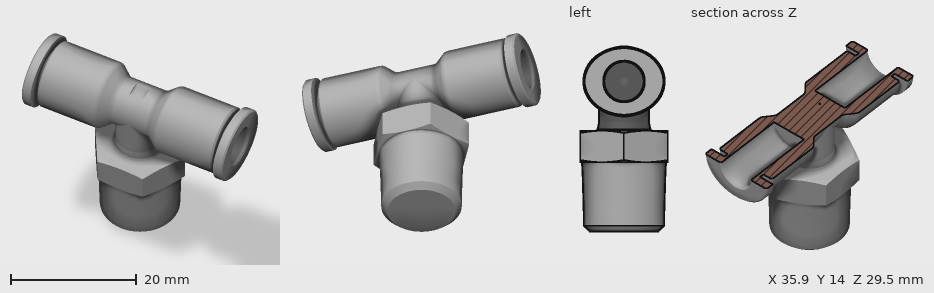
import cadquery as cq
import math


overall_length = 35.9
half_length = overall_length / 2
socket_radius = 5.6
waist_radius = 4.0
waist_half_length = 3.45
cone_end = 5.42
blend_radius = 1.0
socket_end = 15.6
socket_chamfer = 0.3

collar_half_width = 6.5
collar_half_height = 5.53
collar_thickness = 1.6
collar_chamfer = 0.25
collar_neck_radius = 3.8
bore_radius = 3.12
bore_depth = 12.92
bore_chamfer = 0.2

flat_length = 2.35
flat_mouth_length = 2.5
flat_height = 3.7

stem_radius = waist_radius
flare_top = -6.43
flare_bottom = -7.65
flare_radius = 4.25
foot_radius = 4.5

hex_top = -7.85
hex_height = 5.0
hex_bottom = hex_top - hex_height
hex_across_flats = 14.0
hex_inner_radius = hex_across_flats / 2
hex_corner_radius = hex_inner_radius / math.cos(math.radians(30))
hex_corner_drop = 0.35

stud_top_radius = 6.7
stud_lower_radius = 6.43
stud_tip_radius = 5.42
stud_tip_chamfer = 0.97
stud_bottom = -23.9


def revolve_about_z(points):
    """Turn a closed outline of (radius, z) points about the Z axis."""
    return cq.Workplane("XZ").polyline(points).close().revolve(360, (0, 0, 0), (0, 1, 0))


def make_tube_half():
    """Half of the tube body on the +X side, with blended cone edges."""
    half = (
        cq.Workplane("XY")
        .moveTo(0, 0)
        .lineTo(0, waist_radius)
        .lineTo(waist_half_length, waist_radius)
        .lineTo(cone_end, socket_radius)
        .lineTo(socket_end, socket_radius)
        .lineTo(socket_end, 0)
        .close()
        .revolve(360, (0, 0, 0), (1, 0, 0))
    )
    half = half.faces(">X").edges().chamfer(socket_chamfer)
    cone_edges = half.faces("%CONE").faces("<X").edges("%CIRCLE")
    return cone_edges.fillet(blend_radius)


def make_collar():
    """Oval release collar on the +X side with its round neck."""
    collar = (
        cq.Workplane("YZ", origin=(half_length - collar_thickness, 0, 0))
        .ellipse(collar_half_width, collar_half_height)
        .extrude(collar_thickness)
        .faces(">X")
        .edges()
        .chamfer(collar_chamfer)
    )
    neck = (
        cq.Workplane("YZ", origin=(waist_half_length, 0, 0))
        .circle(collar_neck_radius)
        .extrude(half_length - collar_thickness - waist_half_length)
    )
    return collar.union(neck)


def make_bore():
    """Blind tube bore on the +X side with a chamfered mouth."""
    mouth_radius = bore_radius + bore_chamfer
    return (
        cq.Workplane("XY")
        .moveTo(half_length, 0)
        .lineTo(half_length, mouth_radius)
        .lineTo(half_length - bore_chamfer, bore_radius)
        .lineTo(half_length - bore_depth, bore_radius)
        .lineTo(half_length - bore_depth, 0)
        .close()
        .revolve(360, (0, 0, 0), (1, 0, 0))
    )


def make_stem():
    """Stem from the tube axis down to a flared foot on the hexagon."""
    return revolve_about_z([
        (0, 0),
        (stem_radius, 0),
        (stem_radius, flare_top),
        (flare_radius, flare_bottom),
        (foot_radius, hex_top),
        (0, hex_top),
    ])


def make_hexagon():
    """Hexagon whose corners are turned down to a cone at both ends."""
    prism = (
        cq.Workplane("XY", origin=(0, 0, hex_bottom))
        .polygon(6, 2 * hex_corner_radius)
        .extrude(hex_height)
    )
    turned_blank = revolve_about_z([
        (0, hex_top),
        (hex_inner_radius, hex_top),
        (hex_corner_radius, hex_top - hex_corner_drop),
        (hex_corner_radius, hex_bottom + hex_corner_drop),
        (hex_inner_radius, hex_bottom),
        (0, hex_bottom),
    ])
    return prism.intersect(turned_blank)


def make_stud():
    """Tapered stud with a conical tip."""
    return revolve_about_z([
        (0, hex_bottom),
        (stud_top_radius, hex_bottom),
        (stud_lower_radius, stud_bottom + stud_tip_chamfer),
        (stud_tip_radius, stud_bottom),
        (0, stud_bottom),
    ])


def make_flat_cutter():
    """Bar along Y with sloped ends that cuts the flat across the top of the waist."""
    return (
        cq.Workplane("XZ")
        .moveTo(-flat_length / 2, flat_height)
        .lineTo(flat_length / 2, flat_height)
        .lineTo(flat_mouth_length / 2, waist_radius)
        .lineTo(-flat_mouth_length / 2, waist_radius)
        .close()
        .extrude(waist_radius, both=True)
    )


tube_side = make_tube_half().union(make_collar()).cut(make_bore())
tube = tube_side.union(tube_side.mirror("YZ"))

body = tube.union(make_stem())
body = body.union(make_hexagon()).union(make_stud())
result = body.cut(make_flat_cutter())